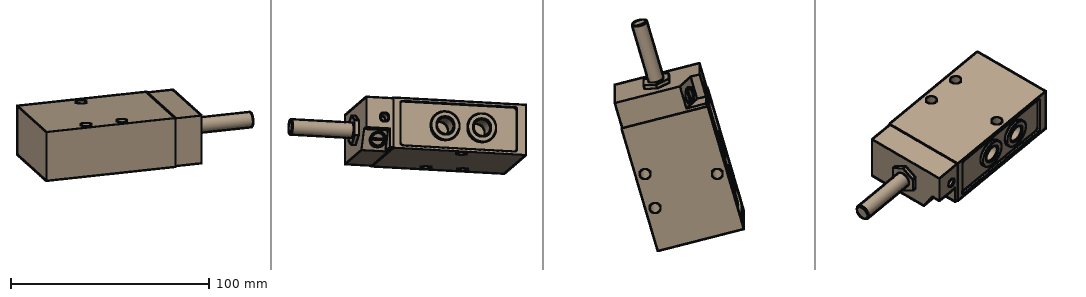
import cadquery as cq
import math

TOTAL_LENGTH = 117.0
HEIGHT = 26.0

BODY_WIDTH = 45.0
BODY_LENGTH = 68.9
SIDE_X = -BODY_WIDTH / 2

HEAD_WIDTH = 44.3
HEAD_LENGTH = 14.0
HEAD_HEIGHT = 25.4
HEAD_SIDE_X = -HEAD_WIDTH / 2
HEAD_END_Y = BODY_LENGTH + HEAD_LENGTH

NUT_ACROSS_CORNERS = 15.2
NUT_THICKNESS = 2.1
TUBE_DIAMETER = 8.0
TUBE_CHAMFER = 0.5

PANEL_DEPTH = 1.6
PANEL_LENGTH = 60.6
PANEL_HEIGHT = 22.9
PANEL_START_Y = 4.7
PANEL_CORNER_RADIUS = 1.4

PORT_SPACING = 19.1
PORT_MIDDLE_Y = 32.4
PORT_YS = (PORT_MIDDLE_Y - PORT_SPACING / 2, PORT_MIDDLE_Y + PORT_SPACING / 2)
COLLAR_DIAMETER = 14.6
PORT_DIAMETER = 8.5
PORT_DEPTH = 11.7
PORT_CHAMFER = 0.5

MOUNT_DIAMETER = 5.5
MOUNT_OFFSET_X = 17.5
MOUNT_POINTS = [(-MOUNT_OFFSET_X, PORT_MIDDLE_Y)] + [(MOUNT_OFFSET_X, y) for y in PORT_YS]

SIDE_HOLE_DIAMETER = 4.1
SIDE_HOLE_DEPTH = 7.0
SIDE_HOLE_CHAMFER = 0.4
SIDE_HOLE_Y = 73.5
SIDE_HOLE_Z = 2.7

NOTCH_ANGLE = 30.0
NOTCH_HEIGHT = 10.0
NOTCH_LENGTH = 12.4
NOTCH_CEILING = 4.7
NOTCH_CEILING_X = HEAD_SIDE_X + NOTCH_CEILING
NOTCH_BOTTOM_X = NOTCH_CEILING_X + NOTCH_HEIGHT * math.tan(math.radians(NOTCH_ANGLE))

SCREW_Y = 75.1
SCREW_HEIGHT = 5.5
SCREW_HOLE_DIAMETER = 8.2
SCREW_DIAMETER = 6.8
SCREW_SINK = 0.5
SCREW_HOLE_DEPTH = 1.8
SLOT_WIDTH = 0.7
SLOT_DEPTH = 0.9


def block(width, height, start_y, length):
    """Block centred on X and Z."""
    return cq.Workplane("XY").box(width, length, height).translate((0, start_y + length / 2, 0))


def side_cylinder(x, y, z, diameter, depth):
    """Cylinder that runs in +X from the given point."""
    return cq.Workplane("YZ", origin=(x, y, z)).circle(diameter / 2).extrude(depth)


def side_hole(x, y, z, diameter, depth, chamfer):
    """Blind hole in +X with a chamfered mouth."""
    radius = diameter / 2
    return (
        cq.Workplane("XY", origin=(x, y, z))
        .moveTo(0, 0)
        .lineTo(0, radius + chamfer)
        .lineTo(chamfer, radius)
        .lineTo(depth, radius)
        .lineTo(depth, 0)
        .close()
        .revolve(360, (0, 0, 0), (1, 0, 0))
    )


def make_nut():
    return (
        cq.Workplane("XZ", origin=(0, HEAD_END_Y, 0))
        .transformed(rotate=(0, 0, 90))
        .polygon(6, NUT_ACROSS_CORNERS)
        .extrude(-NUT_THICKNESS)
    )


def make_tube():
    return (
        cq.Workplane("XZ", origin=(0, HEAD_END_Y, 0))
        .circle(TUBE_DIAMETER / 2)
        .extrude(HEAD_END_Y - TOTAL_LENGTH)
        .faces(">Y")
        .chamfer(TUBE_CHAMFER)
    )


def make_panel_recess():
    panel = (
        cq.Workplane("YZ", origin=(SIDE_X, PANEL_START_Y + PANEL_LENGTH / 2, 0))
        .rect(PANEL_LENGTH, PANEL_HEIGHT)
        .extrude(PANEL_DEPTH)
        .edges("|X")
        .fillet(PANEL_CORNER_RADIUS)
    )
    for y in PORT_YS:
        panel = panel.cut(side_cylinder(SIDE_X, y, 0, COLLAR_DIAMETER, PANEL_DEPTH))
    return panel


def make_mounting_holes():
    return (
        cq.Workplane("XY", origin=(0, 0, -HEIGHT / 2))
        .pushPoints(MOUNT_POINTS)
        .circle(MOUNT_DIAMETER / 2)
        .extrude(HEIGHT)
    )


def make_notch():
    bottom = -HEIGHT / 2
    return (
        cq.Workplane("XZ", origin=(0, HEAD_END_Y, 0))
        .moveTo(HEAD_SIDE_X, bottom)
        .lineTo(NOTCH_BOTTOM_X, bottom)
        .lineTo(NOTCH_CEILING_X, bottom + NOTCH_HEIGHT)
        .lineTo(HEAD_SIDE_X, bottom + NOTCH_HEIGHT)
        .close()
        .extrude(NOTCH_LENGTH)
    )


def make_screw_recess():
    """Hole square to the sloping wall, less the slotted screw that stands in it."""
    slope = math.radians(NOTCH_ANGLE)
    screw_x = NOTCH_CEILING_X + (NOTCH_HEIGHT - SCREW_HEIGHT) * math.tan(slope)
    plane = cq.Plane(
        origin=(screw_x, SCREW_Y, SCREW_HEIGHT - HEIGHT / 2),
        xDir=(0, 1, 0),
        normal=(math.cos(slope), 0, math.sin(slope)),
    )
    hole = cq.Workplane(plane).circle(SCREW_HOLE_DIAMETER / 2).extrude(SCREW_HOLE_DEPTH)
    screw = (
        cq.Workplane(plane)
        .workplane(offset=SCREW_SINK)
        .circle(SCREW_DIAMETER / 2)
        .extrude(SCREW_HOLE_DEPTH - SCREW_SINK)
    )
    slot = (
        cq.Workplane(plane)
        .workplane(offset=SCREW_SINK)
        .rect(SCREW_DIAMETER, SLOT_WIDTH)
        .extrude(SLOT_DEPTH)
    )
    return hole.cut(screw.cut(slot))


result = block(BODY_WIDTH, HEIGHT, 0, BODY_LENGTH)
result = result.union(block(HEAD_WIDTH, HEAD_HEIGHT, BODY_LENGTH, HEAD_LENGTH))
result = result.union(make_nut()).union(make_tube())
result = result.cut(make_panel_recess()).cut(make_mounting_holes())
for port_y in PORT_YS:
    result = result.cut(side_hole(SIDE_X, port_y, 0, PORT_DIAMETER, PORT_DEPTH, PORT_CHAMFER))
result = result.cut(
    side_hole(HEAD_SIDE_X, SIDE_HOLE_Y, SIDE_HOLE_Z, SIDE_HOLE_DIAMETER, SIDE_HOLE_DEPTH, SIDE_HOLE_CHAMFER)
)
result = result.cut(make_notch()).cut(make_screw_recess())